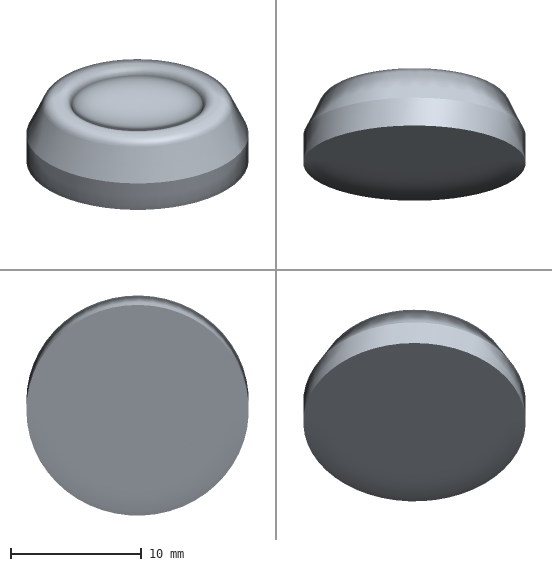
import cadquery as cq
import math

base_radius = 8.5
height = 5.35
base_height = 2.26

rim_outer_radius = 6.38
rim_inner_radius = 5.97
shoulder_radius = 1.0
outer_slope = math.radians(26)
inner_slope = math.radians(49)

core_radius = 5.0


def shoulder_point(rim_radius, side, turn):
    """Point on a shoulder arc after it has turned down from the rim; side is 1 outward, -1 inward."""
    radius = rim_radius + side * shoulder_radius * math.sin(turn)
    z = height - shoulder_radius * (1 - math.cos(turn))
    return (radius, z)


outer_turn = math.pi / 2 - outer_slope
mouth_edge = shoulder_point(rim_inner_radius, -1, inner_slope)
floor_height = mouth_edge[1] - (mouth_edge[0] - core_radius) * math.tan(inner_slope)


def make_housing():
    """Turned ring: cylindrical skirt, conical flank, rounded rim and a conical mouth."""
    profile = (
        cq.Workplane("XZ")
        .moveTo(core_radius, 0)
        .lineTo(base_radius, 0)
        .lineTo(base_radius, base_height)
        .lineTo(*shoulder_point(rim_outer_radius, 1, outer_turn))
        .threePointArc(
            shoulder_point(rim_outer_radius, 1, outer_turn / 2),
            (rim_outer_radius, height),
        )
        .lineTo(rim_inner_radius, height)
        .threePointArc(
            shoulder_point(rim_inner_radius, -1, inner_slope / 2),
            mouth_edge,
        )
        .lineTo(core_radius, floor_height)
        .close()
    )
    return profile.revolve(360, (0, 0, 0), (0, 1, 0))


def make_core():
    """Plain round core seated in the bore of the housing."""
    return cq.Workplane("XY").circle(core_radius).extrude(floor_height)


housing = make_housing()
core = make_core()

result = cq.Compound.makeCompound([housing.val(), core.val()])